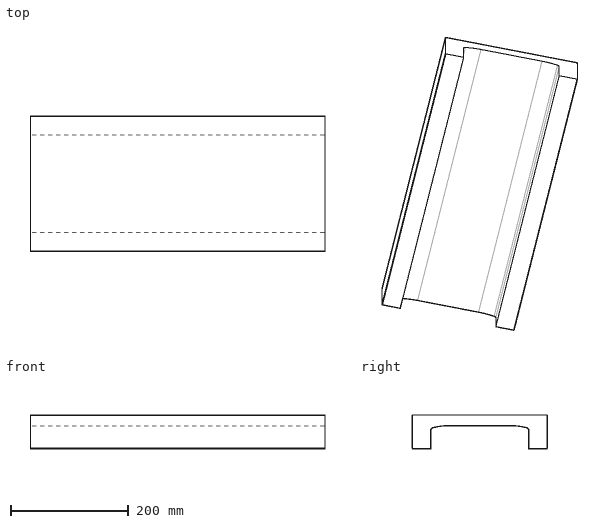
import cadquery as cq

length = 500.0
width = 230.0
height = 57.5

leg_width = 32.0
web_thickness = 18.5
haunch_run = 30.0
haunch_drop = 4.5
corner_radius = 4.0
edge_chamfer = 1.0

opening_half = width / 2 - leg_width
ceiling = height - web_thickness
flat_half = opening_half - haunch_run
spring = ceiling - haunch_drop
haunch_radius = (haunch_run**2 + haunch_drop**2) / (2 * haunch_drop)

bar = cq.Workplane("XY").box(length, width, height, centered=(True, True, False))
bar = bar.edges("|X").chamfer(edge_chamfer)

opening = (
    cq.Workplane("YZ", origin=(-length / 2, 0, 0))
    .moveTo(-opening_half, 0)
    .lineTo(-opening_half, spring)
    .radiusArc((-flat_half, ceiling), haunch_radius)
    .lineTo(flat_half, ceiling)
    .radiusArc((opening_half, spring), haunch_radius)
    .lineTo(opening_half, 0)
    .close()
    .extrude(length)
)

opening = opening.faces("<Y or >Y").edges("|X and (not <Z)").fillet(corner_radius)

result = bar.cut(opening)